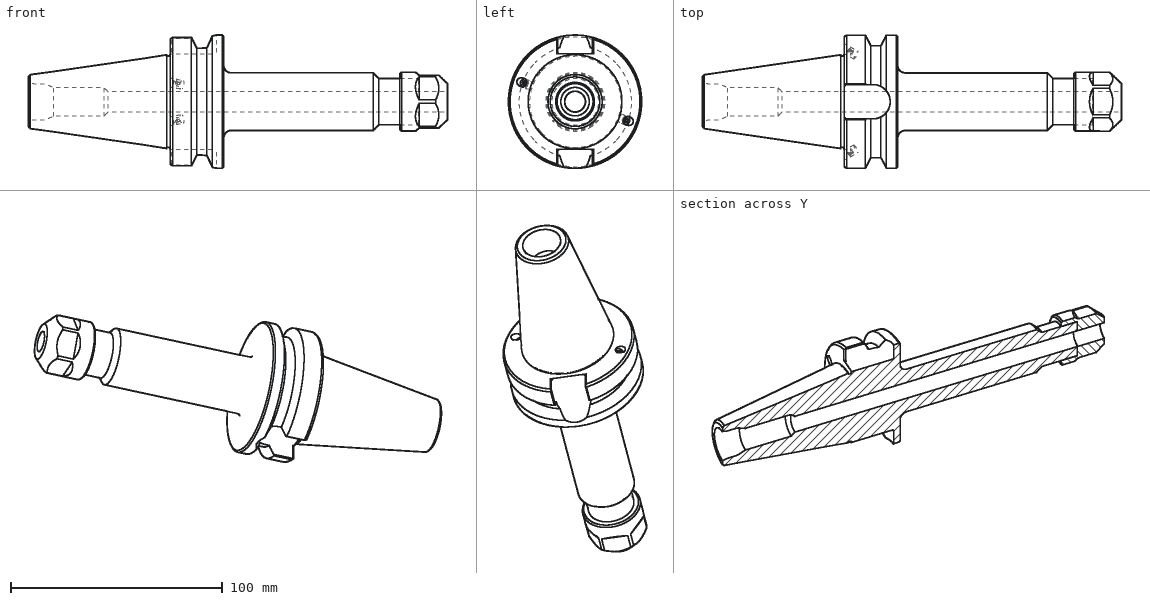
import cadquery as cq
import math

TAPER_LENGTH = 65.3
TAPER_LARGE_RADIUS = 22.2
TAPER_RATIO = 7 / 24
SHANK_END_RADIUS = 11.7
SHANK_END_CHAMFER = 1.0
NECK_RADIUS = 21.5
NECK_FILLET = 0.8

FLANGE_FRONT_X = 67.0
FLANGE_REAR_X = 92.3
FLANGE_RADIUS = 31.5
FRONT_CHAMFER_LENGTH = 1.2
FRONT_CHAMFER_DEPTH = 0.8
REAR_CHAMFER = 0.8
GROOVE_FLOOR_RADIUS = 26.5
GROOVE_CENTRE_X = 82.0
GROOVE_FLOOR_WIDTH = 4.8
GROOVE_SIDE_RUN = 2.5

SLOT_WIDTH = 16.2
SLOT_FLOOR_HEIGHT = 22.5
SLOT_END_X = 88.7
SLOT_FLOOR_FILLET = 0.5
SLOT_LIP_CHAMFER = 0.5

SHAFT_RADIUS = 13.7
SHAFT_ROOT_FILLET = 3.5
SHAFT_END_X = 165.5
SPIGOT_RADIUS = 22.0 / 2
SPIGOT_END_X = 184.1

MOUTH_RADIUS = 9.1
PILOT_RADIUS = 8.5
MOUTH_CONE_LENGTH = 2.8
PILOT_END_X = 7.1
LEAD_IN_START_X = 8.3
LEAD_IN_RADIUS = 8.3
THREAD_START_X = 11.9
THREAD_RADIUS = 6.7
THREAD_END_X = 35.6
THROUGH_RADIUS = 9.7 / 2

SCREW_PITCH_RADIUS = 26.7
SCREW_ANGLES = (20, 200)
SCREW_TILT = 30
SCREW_RADIUS = 4.2 / 2
SCREW_RECESS = 2.4
SCREW_LENGTH = 4.0
SOCKET_ACROSS_FLATS = 2.0
SOCKET_DEPTH = 2.0

NUT_START_X = 175.5
NUT_END_X = 198.0
NUT_RADIUS = 28.0 / 2
NUT_REAR_CHAMFER = 0.8
NUT_CONE_START_X = 192.2
NUT_FRONT_RADIUS = 8.5
HEX_ACROSS_FLATS = 25.0
HEX_START_X = 184.5
HEX_RUNOUT_LENGTH = 1.8


def revolve_about_x(outline):
    """Revolve a closed (x, radius) outline about the X axis."""
    return outline.close().revolve(360, (0, 0, 0), (1, 0, 0))


def holder_blank():
    chamfer_radius = TAPER_LARGE_RADIUS - (TAPER_LENGTH - SHANK_END_CHAMFER) * TAPER_RATIO / 2
    front_x = GROOVE_CENTRE_X - GROOVE_FLOOR_WIDTH / 2
    rear_x = GROOVE_CENTRE_X + GROOVE_FLOOR_WIDTH / 2
    shaft_chamfer = SHAFT_RADIUS - SPIGOT_RADIUS
    neck_fillet_middle = NECK_FILLET * (1 - math.sqrt(0.5))
    root_fillet_middle = SHAFT_ROOT_FILLET * (1 - math.sqrt(0.5))
    outline = (
        cq.Workplane("XY")
        .moveTo(0, 0)
        .lineTo(0, SHANK_END_RADIUS)
        .lineTo(SHANK_END_CHAMFER, chamfer_radius)
        .lineTo(TAPER_LENGTH, TAPER_LARGE_RADIUS)
        .lineTo(TAPER_LENGTH, NECK_RADIUS)
        .lineTo(FLANGE_FRONT_X - NECK_FILLET, NECK_RADIUS)
        .threePointArc(
            (FLANGE_FRONT_X - neck_fillet_middle, NECK_RADIUS + neck_fillet_middle),
            (FLANGE_FRONT_X, NECK_RADIUS + NECK_FILLET),
        )
        .lineTo(FLANGE_FRONT_X, FLANGE_RADIUS - FRONT_CHAMFER_DEPTH)
        .lineTo(FLANGE_FRONT_X + FRONT_CHAMFER_LENGTH, FLANGE_RADIUS)
        .lineTo(front_x - GROOVE_SIDE_RUN, FLANGE_RADIUS)
        .lineTo(front_x, GROOVE_FLOOR_RADIUS)
        .lineTo(rear_x, GROOVE_FLOOR_RADIUS)
        .lineTo(rear_x + GROOVE_SIDE_RUN, FLANGE_RADIUS)
        .lineTo(FLANGE_REAR_X - REAR_CHAMFER, FLANGE_RADIUS)
        .lineTo(FLANGE_REAR_X, FLANGE_RADIUS - REAR_CHAMFER)
        .lineTo(FLANGE_REAR_X, SHAFT_RADIUS + SHAFT_ROOT_FILLET)
        .threePointArc(
            (FLANGE_REAR_X + root_fillet_middle, SHAFT_RADIUS + root_fillet_middle),
            (FLANGE_REAR_X + SHAFT_ROOT_FILLET, SHAFT_RADIUS),
        )
        .lineTo(SHAFT_END_X - shaft_chamfer, SHAFT_RADIUS)
        .lineTo(SHAFT_END_X, SPIGOT_RADIUS)
        .lineTo(SPIGOT_END_X, SPIGOT_RADIUS)
        .lineTo(SPIGOT_END_X, 0)
    )
    return revolve_about_x(outline)


def stepped_bore():
    outline = (
        cq.Workplane("XY")
        .moveTo(0, 0)
        .lineTo(0, MOUTH_RADIUS)
        .lineTo(MOUTH_CONE_LENGTH, PILOT_RADIUS)
        .lineTo(PILOT_END_X, PILOT_RADIUS)
        .lineTo(LEAD_IN_START_X, LEAD_IN_RADIUS)
        .lineTo(THREAD_START_X, THREAD_RADIUS)
        .lineTo(THREAD_END_X, THREAD_RADIUS)
        .lineTo(THREAD_END_X + THREAD_RADIUS - THROUGH_RADIUS, THROUGH_RADIUS)
        .lineTo(NUT_END_X, THROUGH_RADIUS)
        .lineTo(NUT_END_X, 0)
    )
    return revolve_about_x(outline)


def drive_slot():
    """Cutter for the +Z slot: open at the flange front, half-round at the rear."""
    half_width = SLOT_WIDTH / 2
    arc_centre_x = SLOT_END_X - half_width
    return (
        cq.Workplane("XY", origin=(0, 0, SLOT_FLOOR_HEIGHT))
        .moveTo(TAPER_LENGTH, -half_width)
        .lineTo(arc_centre_x, -half_width)
        .threePointArc((SLOT_END_X, 0), (arc_centre_x, half_width))
        .lineTo(TAPER_LENGTH, half_width)
        .close()
        .extrude(FLANGE_RADIUS - SLOT_FLOOR_HEIGHT)
        .faces("<Z")
        .edges("not <X")
        .fillet(SLOT_FLOOR_FILLET)
    )


def slot_front_chamfer():
    """Cutter for the chamfers on the slot's upright edges at the flange front."""
    half_width = SLOT_WIDTH / 2
    outline = [
        (FLANGE_FRONT_X, -half_width - SLOT_LIP_CHAMFER),
        (FLANGE_FRONT_X + SLOT_LIP_CHAMFER, -half_width),
        (FLANGE_FRONT_X + SLOT_LIP_CHAMFER, half_width),
        (FLANGE_FRONT_X, half_width + SLOT_LIP_CHAMFER),
    ]
    floor = cq.Workplane("XY", origin=(0, 0, SLOT_FLOOR_HEIGHT))
    return floor.polyline(outline).close().extrude(FLANGE_RADIUS - SLOT_FLOOR_HEIGHT)


def slot_rim_chamfer():
    """Cutter for the chamfers where the slot walls meet the rim ahead of the V groove."""
    half_width = SLOT_WIDTH / 2
    rim_height = math.sqrt(FLANGE_RADIUS**2 - half_width**2)
    chamfer_foot = rim_height - SLOT_LIP_CHAMFER
    flare = half_width + FLANGE_RADIUS - chamfer_foot
    outline = [
        (-half_width, chamfer_foot),
        (half_width, chamfer_foot),
        (flare, FLANGE_RADIUS),
        (-flare, FLANGE_RADIUS),
    ]
    front = cq.Workplane("YZ", origin=(FLANGE_FRONT_X, 0, 0))
    groove_middle_distance = GROOVE_CENTRE_X - FLANGE_FRONT_X
    return front.polyline(outline).close().extrude(groove_middle_distance)


def screw_plane(angle):
    """Plane at a plug hole's mouth, its normal running into the flange and towards the axis."""
    tilt = math.radians(SCREW_TILT)
    turn = math.radians(angle)
    outward_y = math.cos(turn)
    outward_z = math.sin(turn)
    return cq.Plane(
        origin=(FLANGE_FRONT_X, SCREW_PITCH_RADIUS * outward_y, SCREW_PITCH_RADIUS * outward_z),
        xDir=(0, -outward_z, outward_y),
        normal=(math.cos(tilt), -math.sin(tilt) * outward_y, -math.sin(tilt) * outward_z),
    )


def plug_hole(angle):
    mouth = cq.Workplane(screw_plane(angle)).workplane(offset=-SCREW_RADIUS)
    return mouth.circle(SCREW_RADIUS).extrude(SCREW_RADIUS + SCREW_RECESS + SCREW_LENGTH)


def plug_screw(angle):
    head = cq.Workplane(screw_plane(angle)).workplane(offset=SCREW_RECESS)
    socket_diameter = SOCKET_ACROSS_FLATS / math.cos(math.pi / 6)
    socket = head.polygon(6, socket_diameter).extrude(SOCKET_DEPTH)
    return head.circle(SCREW_RADIUS).extrude(SCREW_LENGTH).cut(socket)


def make_holder():
    body = holder_blank().cut(stepped_bore())
    for turn in (0, 180):
        for cutter in (drive_slot(), slot_front_chamfer(), slot_rim_chamfer()):
            body = body.cut(cutter.rotate((0, 0, 0), (1, 0, 0), turn))
    for angle in SCREW_ANGLES:
        body = body.cut(plug_hole(angle))
    return body


def hex_flat():
    """Cutter for the +Z flat of the nut, with a sloping run-out at its rear end."""
    flat_height = HEX_ACROSS_FLATS / 2
    return (
        cq.Workplane("XZ")
        .moveTo(HEX_START_X - HEX_RUNOUT_LENGTH, NUT_RADIUS)
        .lineTo(HEX_START_X, flat_height)
        .lineTo(NUT_END_X, flat_height)
        .lineTo(NUT_END_X, NUT_RADIUS)
        .close()
        .extrude(NUT_RADIUS, both=True)
    )


def make_nut():
    outline = (
        cq.Workplane("XY")
        .moveTo(NUT_START_X, SPIGOT_RADIUS)
        .lineTo(NUT_START_X, NUT_RADIUS - NUT_REAR_CHAMFER)
        .lineTo(NUT_START_X + NUT_REAR_CHAMFER, NUT_RADIUS)
        .lineTo(NUT_CONE_START_X, NUT_RADIUS)
        .lineTo(NUT_END_X, NUT_FRONT_RADIUS)
        .lineTo(NUT_END_X, THROUGH_RADIUS)
        .lineTo(SPIGOT_END_X, THROUGH_RADIUS)
        .lineTo(SPIGOT_END_X, SPIGOT_RADIUS)
    )
    body = revolve_about_x(outline)
    for side in range(6):
        body = body.cut(hex_flat().rotate((0, 0, 0), (1, 0, 0), 60 * side))
    return body


holder = make_holder()
nut = make_nut()
plug_screws = [plug_screw(angle) for angle in SCREW_ANGLES]

result = cq.Compound.makeCompound([holder.val(), nut.val(), *(screw.val() for screw in plug_screws)])